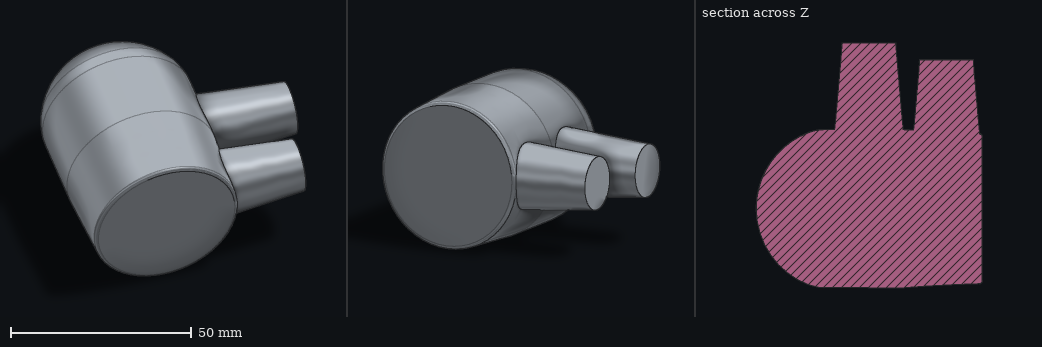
import cadquery as cq
import math

body_radius = 22.0
cylinder_length = 22.0
taper_length = 22.0
taper_angle = math.radians(3.0)
end_fillet_radius = 1.0
nose_length = 18.83
shoulder_radius = 11.7

nozzle_tip_radius = 7.5
nozzle_taper_angle = math.radians(5.0)
nozzle_root_y = 16.0
nozzles = [(-9.5, 46.0), (12.0, 41.4)]


def make_body():
    """Domed cylinder with a slightly tapered, rounded rear end."""
    cylinder_start_x = -cylinder_length
    tip_x = cylinder_start_x - nose_length
    taper_end_radius = body_radius - taper_length * math.tan(taper_angle)

    shoulder_center_radius = body_radius - shoulder_radius
    dome_radius = (nose_length**2 + shoulder_center_radius**2 - shoulder_radius**2) / (
        2 * (nose_length - shoulder_radius)
    )
    dome_center_x = tip_x + dome_radius
    lean_angle = math.atan2(dome_center_x - cylinder_start_x, shoulder_center_radius)

    def dome_point(angle):
        return (
            dome_center_x - dome_radius * math.sin(angle),
            dome_radius * math.cos(angle),
        )

    shoulder_middle = (
        cylinder_start_x - shoulder_radius * math.sin(lean_angle / 2),
        shoulder_center_radius + shoulder_radius * math.cos(lean_angle / 2),
    )
    dome_middle_angle = (lean_angle + math.pi / 2) / 2

    profile = (
        cq.Workplane("XY")
        .moveTo(tip_x, 0)
        .threePointArc(dome_point(dome_middle_angle), dome_point(lean_angle))
        .threePointArc(shoulder_middle, (cylinder_start_x, body_radius))
        .lineTo(0, body_radius)
        .lineTo(taper_length, taper_end_radius)
        .lineTo(taper_length, 0)
        .close()
    )
    body = profile.revolve(360, (0, 0, 0), (1, 0, 0))
    return body.faces(">X").edges().fillet(end_fillet_radius)


def make_nozzle(axis_x, tip_y):
    """Solid cone frustum that widens from its tip toward the body."""
    length = tip_y - nozzle_root_y
    root_radius = nozzle_tip_radius + length * math.tan(nozzle_taper_angle)
    root_center = cq.Vector(axis_x, nozzle_root_y, 0)
    cone = cq.Solid.makeCone(root_radius, nozzle_tip_radius, length, root_center, cq.Vector(0, 1, 0))
    return cq.Workplane(obj=cone)


result = make_body()
for axis_x, tip_y in nozzles:
    result = result.union(make_nozzle(axis_x, tip_y))